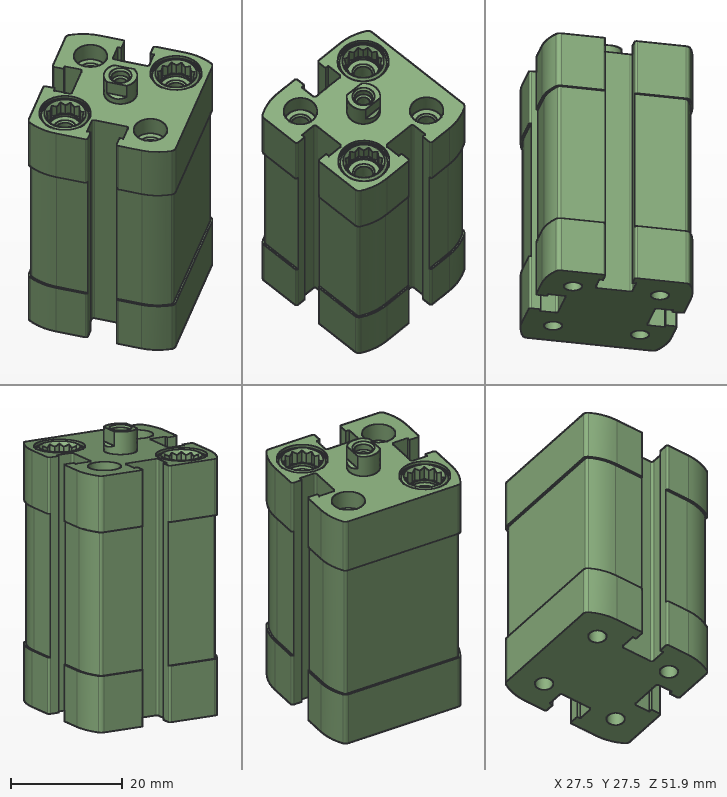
import cadquery as cq
import math

side = 27.5
half = side / 2
housing_height = 47.7
cap_height = 10.5
middle_inset = 0.38
crown_start = 8.0
crown_radius = 10.5
edge_radius = 1.0

slot_offset = 0.6
mouth_width = 5.4
chamber_width = 6.8
lip_depth = 2.1
slot_depth = 5.4
mouth_radius = middle_inset
slot_corner_radius = 0.4
overrun = 1.0

hole_spacing = 16.0
hole_diameter = 3.3
hole_mouth_diameter = 3.97
counterbore_diameter = 6.0
counterbore_depth = 3.5

socket_points = 12
socket_valley_radius = 3.46
socket_tip_radius = 3.1
socket_depth = 3.0
crest_diameter = 7.5
lead_in_angle = 38.0
crest_depth = 0.1
groove_inner_diameter = 8.5
groove_diameter = 9.2

rod_diameter = 6.0
rod_projection = 4.2
rod_across_flats = 4.7
flat_length = 2.65
flat_slope = 0.6
rod_bore_diameter = 3.24
rod_bore_mouth_diameter = 4.0
rod_bore_depth = 1.5
rod_pilot_diameter = 2.27
rod_step_slope = 0.4
rod_pilot_depth = 6.0
drill_point_angle = 118.0
rod_seat_depth = cap_height
rod_top = housing_height + rod_projection


def outline(inset):
    """Rounded square section, moved inward by `inset`."""
    edge = half - inset
    arc_radius = crown_radius - inset
    arc_centre_y = edge - arc_radius
    angle_at_edge = math.asin((edge - crown_start) / arc_radius)
    mid_angle = angle_at_edge / 2
    corner_y = arc_centre_y + arc_radius * math.cos(angle_at_edge)
    mid_x = crown_start + arc_radius * math.sin(mid_angle)
    mid_y = arc_centre_y + arc_radius * math.cos(mid_angle)
    return (
        cq.Workplane("XY")
        .moveTo(-crown_start, edge)
        .lineTo(crown_start, edge)
        .threePointArc((mid_x, mid_y), (edge, corner_y))
        .lineTo(edge, -corner_y)
        .threePointArc((mid_x, -mid_y), (crown_start, -edge))
        .lineTo(-crown_start, -edge)
        .threePointArc((-mid_x, -mid_y), (-edge, -corner_y))
        .lineTo(-edge, corner_y)
        .threePointArc((-mid_x, mid_y), (-crown_start, edge))
        .close()
    )


def block(inset, bottom, height):
    """Upright block of the rounded square section."""
    upright_edges = outline(inset).extrude(height).edges("|Z and (>X or <X)")
    return upright_edges.fillet(edge_radius - inset).translate((0, 0, bottom))


def slot_cutter():
    """T-slot in the +Y face, centred on X = 0, with a rounded mouth and floor corners."""
    mouth = mouth_width / 2
    chamber = chamber_width / 2
    lip_y = half - lip_depth
    floor_y = half - slot_depth
    neck = (
        cq.Workplane("XY")
        .moveTo(-mouth, lip_y)
        .lineTo(-mouth, half - mouth_radius)
        .radiusArc((-mouth - mouth_radius, half), -mouth_radius)
        .lineTo(-mouth - mouth_radius, half + overrun)
        .lineTo(mouth + mouth_radius, half + overrun)
        .lineTo(mouth + mouth_radius, half)
        .radiusArc((mouth, half - mouth_radius), -mouth_radius)
        .lineTo(mouth, lip_y)
        .close()
        .extrude(housing_height)
    )
    room = (
        cq.Workplane("XY")
        .rect(2 * chamber, lip_y - floor_y)
        .extrude(housing_height)
        .edges("|Z and <Y")
        .fillet(slot_corner_radius)
        .translate((0, (lip_y + floor_y) / 2, 0))
    )
    return neck.union(room)


def cone(bottom_diameter, top_diameter, bottom_z, top_z):
    """Upright cone or frustum on the Z axis."""
    return cq.Workplane(
        cq.Solid.makeCone(
            bottom_diameter / 2, top_diameter / 2, top_z - bottom_z, cq.Vector(0, 0, bottom_z)
        )
    )


def cylinder(diameter, bottom_z, top_z):
    """Upright cylinder on the Z axis."""
    return cq.Workplane("XY", origin=(0, 0, bottom_z)).circle(diameter / 2).extrude(top_z - bottom_z)


def bolt_hole():
    """Through hole with a chamfered mouth under a counterbore."""
    floor_z = housing_height - counterbore_depth
    chamfer = (hole_mouth_diameter - hole_diameter) / 2
    hole = cylinder(hole_diameter, 0, floor_z)
    hole = hole.union(cone(hole_diameter, hole_mouth_diameter, floor_z - chamfer, floor_z))
    return hole.union(cylinder(counterbore_diameter, floor_z, housing_height))


def socket():
    """Twelve-point recess inside a ring with a conical lead-in and a 45 degree outer slope."""
    floor_z = housing_height - socket_depth
    crest_z = housing_height - crest_depth
    groove_floor_z = crest_z - (groove_inner_diameter - crest_diameter) / 2

    half_pitch = math.pi / socket_points
    star = []
    for corner in range(2 * socket_points):
        radius = socket_tip_radius if corner % 2 else socket_valley_radius
        angle = corner * half_pitch
        star.append((radius * math.cos(angle), radius * math.sin(angle)))
    recess = cq.Workplane("XY", origin=(0, 0, floor_z)).polyline(star).close().extrude(socket_depth)

    lead_in_length = crest_diameter / 2 / math.tan(math.radians(lead_in_angle))
    lead_in_tip_z = crest_z - lead_in_length
    lead_in = cone(0, crest_diameter, lead_in_tip_z, crest_z)
    lead_in = lead_in.intersect(cylinder(crest_diameter, floor_z, crest_z))
    groove = cylinder(groove_diameter, groove_floor_z, housing_height)
    ring = cone(groove_inner_diameter, crest_diameter, groove_floor_z, crest_z)
    return groove.cut(ring).union(recess).union(lead_in)


def make_housing():
    upper_cap_z = housing_height - cap_height
    body = block(0, 0, cap_height)
    body = body.union(block(middle_inset, cap_height, upper_cap_z - cap_height))
    body = body.union(block(0, upper_cap_z, cap_height))

    back_slot = slot_cutter().translate((-slot_offset, 0, 0))
    front_slot = back_slot.rotate((0, 0, 0), (0, 0, 1), 180)
    left_slot = slot_cutter().rotate((0, 0, 0), (0, 0, 1), 90).translate((0, slot_offset, 0))
    for slot in (back_slot, front_slot, left_slot):
        body = body.cut(slot)

    reach = hole_spacing / 2
    for x_sign in (-1, 1):
        for y_sign in (-1, 1):
            place = (x_sign * reach, y_sign * reach, 0)
            body = body.cut(bolt_hole().translate(place))
            if x_sign == y_sign:
                body = body.cut(socket().translate(place))

    return body.cut(cylinder(rod_diameter, housing_height - rod_seat_depth, housing_height))


def make_rod():
    rod = cylinder(rod_diameter, housing_height - rod_seat_depth, rod_top)

    flat_y = rod_across_flats / 2
    flat_z = rod_top - flat_length
    radius = rod_diameter / 2
    flat = (
        cq.Workplane("YZ")
        .moveTo(flat_y, rod_top)
        .lineTo(flat_y, flat_z)
        .lineTo(radius, flat_z - (radius - flat_y) * flat_slope)
        .lineTo(radius, rod_top)
        .close()
        .extrude(radius, both=True)
    )
    rod = rod.cut(flat).cut(flat.mirror("XZ"))

    chamfer = (rod_bore_mouth_diameter - rod_bore_diameter) / 2
    bore_z = rod_top - rod_bore_depth
    step = (rod_bore_diameter - rod_pilot_diameter) / 2 * rod_step_slope
    pilot_z = rod_top - rod_pilot_depth
    point_height = rod_pilot_diameter / 2 / math.tan(math.radians(drill_point_angle / 2))
    rod = rod.cut(cone(rod_bore_diameter, rod_bore_mouth_diameter, rod_top - chamfer, rod_top))
    rod = rod.cut(cylinder(rod_bore_diameter, bore_z, rod_top))
    rod = rod.cut(cone(rod_pilot_diameter, rod_bore_diameter, bore_z - step, bore_z))
    rod = rod.cut(cylinder(rod_pilot_diameter, pilot_z, rod_top))
    return rod.cut(cone(0, rod_pilot_diameter, pilot_z - point_height, pilot_z))


housing = make_housing()
rod = make_rod()

result = cq.Compound.makeCompound([housing.val(), rod.val()])